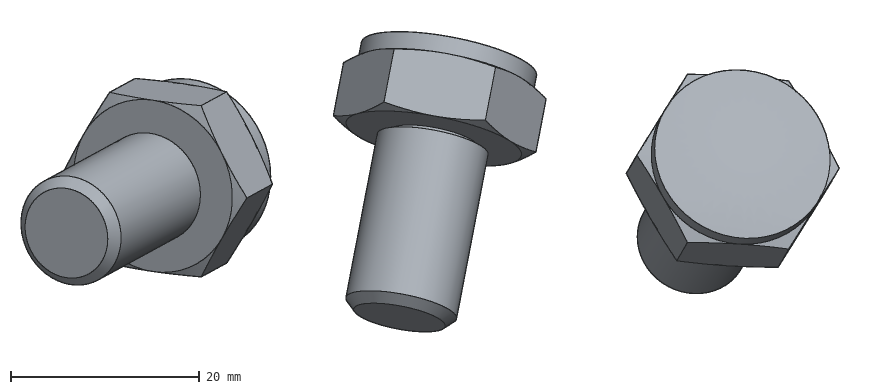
import cadquery as cq
import math

overall_length = 30.0
across_flats = 19.0
across_corners = across_flats / math.cos(math.radians(30))
hex_height = 7.0
corner_drop = 0.55

cap_diameter = across_flats
cap_height = 1.9
dome_height = 1.1

shank_diameter = 12.0
shank_end = overall_length - hex_height - cap_height - dome_height
tip_chamfer = 1.05
neck_diameter = 9.4
neck_length = 0.63


def cylinder(diameter, start, length):
    """Solid cylinder on the Y axis, from Y = start towards +Y."""
    plane = cq.Workplane("XZ", origin=(0, start, 0))
    return plane.circle(diameter / 2).extrude(-length)


def make_hex():
    """Hexagon with corners on X, trimmed by a cone at both ends."""
    prism = cq.Workplane("XZ").polygon(6, across_corners).extrude(-hex_height)
    flat_radius = across_flats / 2
    corner_radius = across_corners / 2
    envelope = (
        cq.Workplane("XY")
        .moveTo(0, 0)
        .lineTo(flat_radius, 0)
        .lineTo(corner_radius, corner_drop)
        .lineTo(corner_radius, hex_height - corner_drop)
        .lineTo(flat_radius, hex_height)
        .lineTo(0, hex_height)
        .close()
        .revolve(360, (0, 0, 0), (0, 1, 0))
    )
    return prism.intersect(envelope)


def make_cap():
    """Round cap with a shallow spherical dome."""
    radius = cap_diameter / 2
    side_top = hex_height + cap_height
    sphere_radius = (radius**2 + dome_height**2) / (2 * dome_height)
    sphere_center = side_top + dome_height - sphere_radius
    half_angle = math.asin(radius / sphere_radius) / 2
    arc_middle = (
        sphere_radius * math.sin(half_angle),
        sphere_center + sphere_radius * math.cos(half_angle),
    )
    return (
        cq.Workplane("XY")
        .moveTo(0, hex_height)
        .lineTo(radius, hex_height)
        .lineTo(radius, side_top)
        .threePointArc(arc_middle, (0, side_top + dome_height))
        .close()
        .revolve(360, (0, 0, 0), (0, 1, 0))
    )


def make_shank():
    """Shank with a chamfered tip, joined to the head by a thinner neck."""
    shank = cylinder(shank_diameter, -shank_end, shank_end - neck_length)
    shank = shank.faces("<Y").chamfer(tip_chamfer)
    return shank.union(cylinder(neck_diameter, -neck_length, neck_length))


result = make_hex().union(make_cap()).union(make_shank())